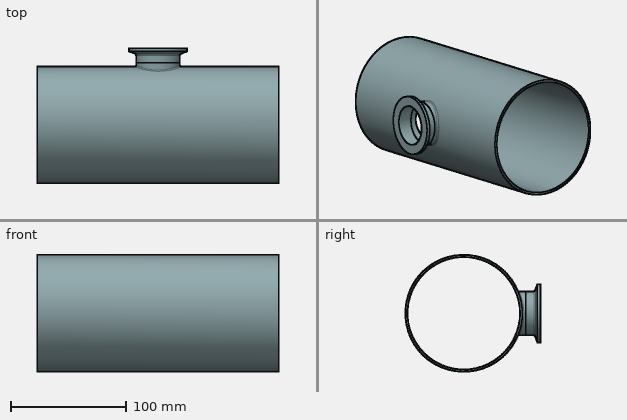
import cadquery as cq
import math

tube_length = 209.5
tube_diameter = 101.7
tube_radius = tube_diameter / 2
wall = 2.0

overall_depth = 117.5
branch_reach = overall_depth - tube_radius
branch_radius = 19.0
branch_bore_radius = branch_radius - wall
branch_root_fillet = 1.0

ferrule_length = 12.8
flange_radius = 25.4
flange_rim = 3.0
flange_back_angle = 20.0
flange_root_fillet = 1.5

ferrule_base = branch_reach - ferrule_length
rim_back = branch_reach - flange_rim
cone_drop = (flange_radius - branch_radius) * math.tan(math.radians(flange_back_angle))
cone_base = rim_back - cone_drop


def x_cylinder(radius):
    """Full-length cylinder on the tube axis."""
    return cq.Workplane("YZ").circle(radius).extrude(tube_length / 2, both=True)


def y_cylinder(radius, length):
    """Cylinder on the branch axis, from the tube axis outward."""
    return cq.Workplane("XZ").circle(radius).extrude(-length)


def make_tee():
    """Tube with a short branch stub and a filleted, open junction."""
    solid = x_cylinder(tube_radius).union(y_cylinder(branch_radius, ferrule_base))
    junction = cq.selectors.BoxSelector(
        (-flange_radius, tube_radius / 2, -flange_radius),
        (flange_radius, ferrule_base - wall / 2, flange_radius),
        boundingbox=True,
    )
    solid = solid.edges(junction).fillet(branch_root_fillet)
    return solid.cut(x_cylinder(tube_radius - wall)).cut(y_cylinder(branch_bore_radius, ferrule_base))


def make_ferrule():
    """Ring with a clamp flange whose back is conical and blends into the neck."""
    ring = (
        cq.Workplane("XY")
        .moveTo(branch_bore_radius, ferrule_base)
        .lineTo(branch_radius, ferrule_base)
        .lineTo(branch_radius, cone_base)
        .lineTo(flange_radius, rim_back)
        .lineTo(flange_radius, branch_reach)
        .lineTo(branch_bore_radius, branch_reach)
        .close()
        .revolve(360, (0, 0, 0), (0, 1, 0))
    )
    flange_root = cq.selectors.BoxSelector(
        (-flange_radius, ferrule_base + wall, -flange_radius),
        (flange_radius, rim_back - cone_drop / 2, flange_radius),
        boundingbox=True,
    )
    return ring.edges(flange_root).fillet(flange_root_fillet)


tee = make_tee()
ferrule = make_ferrule()
result = cq.Compound.makeCompound([tee.solids().val(), ferrule.solids().val()])